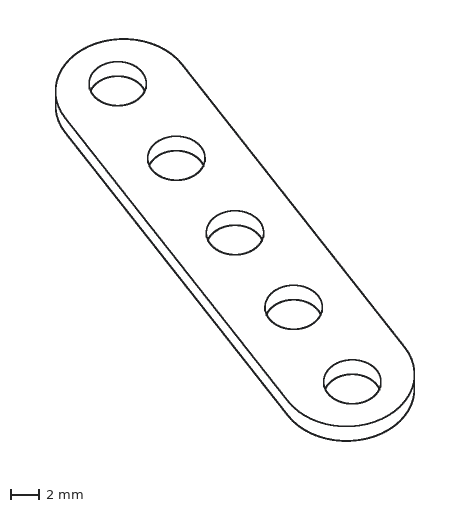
import cadquery as cq

length = 40.0
width = 9.6
thickness = 1.6
hole_count = 5
hole_pitch = 8.0
hole_diameter = 4.05

bar = cq.Workplane("XY").slot2D(length, width).extrude(thickness)

result = (
    bar.faces(">Z")
    .workplane()
    .rarray(hole_pitch, 0.4, hole_count, 1)
    .hole(hole_diameter)
)